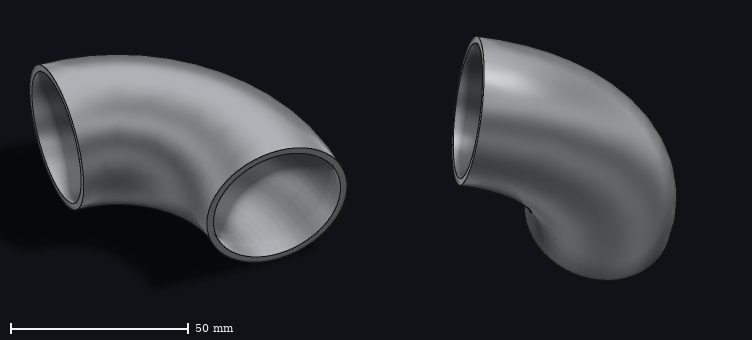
import cadquery as cq

overall_length = 69.2
outer_diameter = 42.4
wall_thickness = 2.0
bend_angle = 90.0

outer_radius = outer_diameter / 2
inner_radius = outer_radius - wall_thickness
bend_radius = overall_length - outer_radius


def make_elbow():
    """Revolve the ring-shaped pipe section about the vertical bend axis at the origin."""
    section = (
        cq.Workplane("XZ")
        .center(-bend_radius, 0)
        .circle(outer_radius)
        .circle(inner_radius)
    )
    axis_start = (bend_radius, 0)
    axis_end = (bend_radius, -1)
    return section.revolve(bend_angle, axis_start, axis_end)


result = make_elbow()